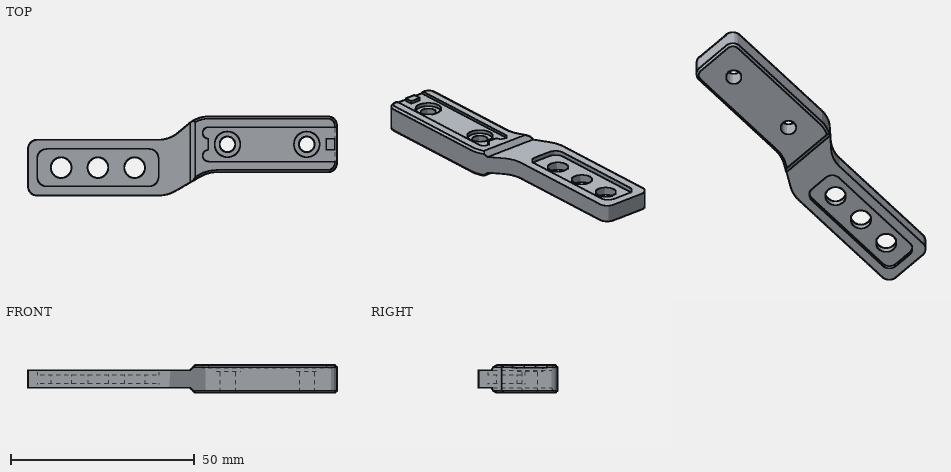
import cadquery as cq
import math

LENGTH = 84.15
WIDTH = 15.24
HEAD_OFFSET = 6.35
HEAD_THICKNESS = 7.62
ARM_THICKNESS = 4.826
CORNER_RADIUS = 2.54

BEND_START_X = 35.56
UPPER_BEND_ANGLE = math.radians(40)
UPPER_BEND_RADIUS = 8.3
LOWER_BEND_ANGLE = math.radians(30)
LOWER_BEND_RADIUS = 9.14

STEP_START_X = 44.15
STEP_HEIGHT = (HEAD_THICKNESS - ARM_THICKNESS) / 2
RIM_CHAMFER = 0.635

ARM_POCKET_MARGIN = 2.54
ARM_POCKET_LENGTH = BEND_START_X - ARM_POCKET_MARGIN
ARM_POCKET_WIDTH = WIDTH - 2 * ARM_POCKET_MARGIN
ARM_POCKET_RADIUS = 2.54
ARM_POCKET_DEPTH = 1.27
ARM_HOLE_DIAMETER = 5.56
ARM_HOLE_PITCH = 10.0
ARM_HOLE_COUNT = 3

CHANNEL_WIDTH = 9.35
CHANNEL_DEPTH = 0.762
TONGUE_WIDTH = 3.05
TONGUE_END_X = LENGTH - 35.0
PAD_LENGTH = 2.29
PAD_WIDTH = TONGUE_WIDTH

HEAD_HOLE_DIAMETER = 4.19
COUNTERBORE_DIAMETER = 6.99
COUNTERBORE_DEPTH = 1.0
HEAD_HOLE_PITCH = 21.59
HEAD_HOLE_END_DISTANCE = 8.255

ARM_TOP_Z = ARM_THICKNESS / 2
HEAD_TOP_Z = HEAD_THICKNESS / 2
CHANNEL_FLOOR_Z = HEAD_TOP_Z - CHANNEL_DEPTH


def bend_points(start_y, angle, radius):
    """Ends of the two tangent arcs and the sloped line that lift an edge by HEAD_OFFSET."""
    rise_per_radius = 1 - math.cos(angle)
    line_rise = HEAD_OFFSET - 2 * radius * rise_per_radius
    slope_start_x = BEND_START_X + radius * math.sin(angle)
    slope_start_y = start_y + radius * rise_per_radius
    slope_end_x = slope_start_x + line_rise / math.tan(angle)
    slope_end_y = slope_start_y + line_rise
    return [
        (BEND_START_X, start_y),
        (slope_start_x, slope_start_y),
        (slope_end_x, slope_end_y),
        (slope_end_x + radius * math.sin(angle), start_y + HEAD_OFFSET),
    ]


def make_blank():
    """Full-thickness plate in the S outline, with rounded ends and chamfered rims."""
    bottom_y = -WIDTH / 2
    top_y = WIDTH / 2
    lower = bend_points(bottom_y, LOWER_BEND_ANGLE, LOWER_BEND_RADIUS)
    upper = bend_points(top_y, UPPER_BEND_ANGLE, UPPER_BEND_RADIUS)
    plate = (
        cq.Workplane("XY", origin=(0, 0, -HEAD_TOP_Z))
        .moveTo(0, bottom_y)
        .lineTo(*lower[0])
        .tangentArcPoint(lower[1], relative=False)
        .lineTo(*lower[2])
        .tangentArcPoint(lower[3], relative=False)
        .lineTo(LENGTH, bottom_y + HEAD_OFFSET)
        .lineTo(LENGTH, top_y + HEAD_OFFSET)
        .lineTo(*upper[3])
        .tangentArcPoint(upper[2], relative=False)
        .lineTo(*upper[1])
        .tangentArcPoint(upper[0], relative=False)
        .lineTo(0, top_y)
        .close()
        .extrude(HEAD_THICKNESS)
    )
    plate = plate.edges("|Z and (<X or >X)").fillet(CORNER_RADIUS)
    return plate.faces("<Z or >Z").edges().chamfer(RIM_CHAMFER)


def make_side_profile():
    """Side silhouette, thin at the arm and thick at the head, wider than the part in Y."""
    step_end_x = STEP_START_X + STEP_HEIGHT
    return (
        cq.Workplane("XZ")
        .polyline([
            (0, -ARM_TOP_Z),
            (STEP_START_X, -ARM_TOP_Z),
            (step_end_x, -HEAD_TOP_Z),
            (LENGTH, -HEAD_TOP_Z),
            (LENGTH, HEAD_TOP_Z),
            (step_end_x, HEAD_TOP_Z),
            (STEP_START_X, ARM_TOP_Z),
            (0, ARM_TOP_Z),
        ])
        .close()
        .extrude(WIDTH + HEAD_OFFSET, both=True)
    )


def make_arm_cuts():
    """Matching rounded pockets in both arm faces, with a row of through holes in the web."""
    pocket_centre_x = ARM_POCKET_MARGIN + ARM_POCKET_LENGTH / 2
    top_pocket = (
        cq.Workplane("XY", origin=(pocket_centre_x, 0, ARM_TOP_Z - ARM_POCKET_DEPTH))
        .rect(ARM_POCKET_LENGTH, ARM_POCKET_WIDTH)
        .extrude(ARM_POCKET_DEPTH)
        .edges("|Z")
        .fillet(ARM_POCKET_RADIUS)
    )
    bottom_pocket = top_pocket.mirror("XY")
    holes = (
        cq.Workplane("XY", origin=(pocket_centre_x, 0, -ARM_TOP_Z))
        .rarray(ARM_HOLE_PITCH, 1, ARM_HOLE_COUNT, 1)
        .circle(ARM_HOLE_DIAMETER / 2)
        .extrude(ARM_THICKNESS)
    )
    return top_pocket.union(bottom_pocket).union(holes)


def make_channel_cut():
    """Open-ended channel whose closed end has two round lobes beside a square tongue; a raised
    rectangular pad is left standing near the open end.
    """
    half_channel = CHANNEL_WIDTH / 2
    half_tongue = TONGUE_WIDTH / 2
    lobe_radius = (half_channel - half_tongue) / 2
    lobe_centre_y = half_tongue + lobe_radius
    lobe_tip_x = TONGUE_END_X - lobe_radius
    channel = (
        cq.Workplane("XY", origin=(0, HEAD_OFFSET, CHANNEL_FLOOR_Z))
        .moveTo(LENGTH, -half_channel)
        .lineTo(TONGUE_END_X, -half_channel)
        .threePointArc((lobe_tip_x, -lobe_centre_y), (TONGUE_END_X, -half_tongue))
        .lineTo(TONGUE_END_X, half_tongue)
        .threePointArc((lobe_tip_x, lobe_centre_y), (TONGUE_END_X, half_channel))
        .lineTo(LENGTH, half_channel)
        .close()
        .extrude(CHANNEL_DEPTH)
    )
    pad_centre_x = LENGTH - RIM_CHAMFER - PAD_LENGTH / 2
    pad = (
        cq.Workplane("XY", origin=(pad_centre_x, HEAD_OFFSET, CHANNEL_FLOOR_Z))
        .rect(PAD_LENGTH, PAD_WIDTH)
        .extrude(CHANNEL_DEPTH)
    )
    return channel.cut(pad)


def make_head_hole_cuts():
    """Pair of through holes counterbored from the channel floor."""
    last_hole_x = LENGTH - HEAD_HOLE_END_DISTANCE
    centres = [(last_hole_x - HEAD_HOLE_PITCH, 0), (last_hole_x, 0)]
    holes = (
        cq.Workplane("XY", origin=(0, HEAD_OFFSET, -HEAD_TOP_Z))
        .pushPoints(centres)
        .circle(HEAD_HOLE_DIAMETER / 2)
        .extrude(HEAD_THICKNESS)
    )
    counterbores = (
        cq.Workplane("XY", origin=(0, HEAD_OFFSET, CHANNEL_FLOOR_Z - COUNTERBORE_DEPTH))
        .pushPoints(centres)
        .circle(COUNTERBORE_DIAMETER / 2)
        .extrude(COUNTERBORE_DEPTH)
    )
    return holes.union(counterbores)


result = (
    make_blank()
    .intersect(make_side_profile())
    .cut(make_arm_cuts())
    .cut(make_channel_cut())
    .cut(make_head_hole_cuts())
)